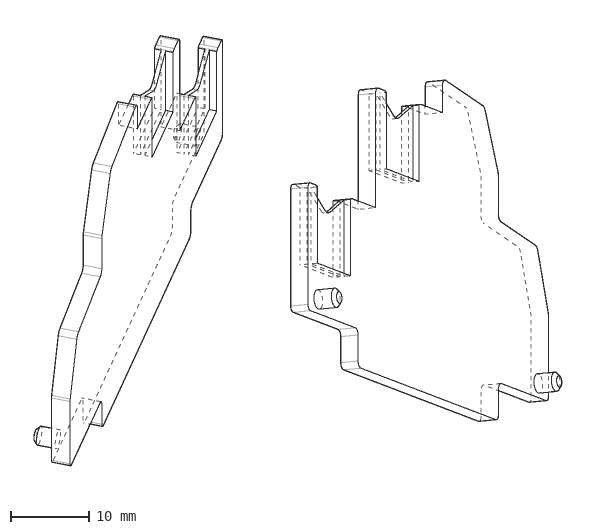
import cadquery as cq
import math

plate_thickness = 2.5
plate_width = 68.5
plate_height = 41.82
half_width = plate_width / 2

foot_half_width = 20.0
ledge_z = 5.0

lower_shelf_z = 21.7
shelf_rise = 15.75
upper_shelf_z = lower_shelf_z + shelf_rise
step_y = 15.0
tower_y = -4.05

roof_slope = math.radians(7.8)
tower_shoulder_y = -16.0
tower_flank_foot_z = 32.2
nose_roof_z = 26.2
nose_shoulder_y = -31.0
nose_flank_foot_z = 16.35

corner_radius = 0.8
end_corner_radius = 0.7
shoulder_radius = 1.0

notch_y = 26.9
notch_spacing = 19.6
notch_half_width = 5.0
notch_slope = math.radians(30)
notch_depth = notch_half_width * math.tan(notch_slope)
notch_root_radius = 1.5
notch_lip_radius = 1.0
recess_width = 9.35
recess_depth_below_shelf = 10.15
web_start_x = 0.9
web_thickness = 0.6

pin_diameter = 2.5
pin_length = 3.0
pin_tip_chamfer = 0.5
pin_y = half_width - 2.93
pin_z = 6.85

peak_z = plate_height + corner_radius * (math.tan(roof_slope) + 1 / math.cos(roof_slope) - 1)

notches = [
    (notch_y, lower_shelf_z),
    (notch_y - notch_spacing, upper_shelf_z),
]


def roof_drop(run):
    """Height lost along a sloping roof over a horizontal run."""
    return run * math.tan(roof_slope)


def notch_corners(centre_y, shelf_z):
    """Corners of one V notch, from the +Y lip through the root to the -Y lip."""
    return [
        (centre_y + notch_half_width, shelf_z),
        (centre_y, shelf_z - notch_depth),
        (centre_y - notch_half_width, shelf_z),
    ]


def round_corners(body, corners, radius):
    """Fillet the edges that cross the plate thickness at the given (y, z) corners."""
    for y, z in corners:
        corner = cq.selectors.NearestToPointSelector((plate_thickness / 2, y, z))
        body = body.edges(corner).fillet(radius)
    return body


def make_plate():
    lower_notch = notch_corners(*notches[0])
    upper_notch = notch_corners(*notches[1])
    foot_corners = [(foot_half_width, 0), (-foot_half_width, 0)]
    foot_roots = [(foot_half_width, ledge_z), (-foot_half_width, ledge_z)]
    ledge_ends = [(half_width, ledge_z), (-half_width, ledge_z)]
    lower_shelf_end = (half_width, lower_shelf_z)
    upper_shelf_end = (step_y, upper_shelf_z)
    peak = (tower_y, peak_z)
    tower_shoulder = (tower_shoulder_y, peak_z - roof_drop(tower_y - tower_shoulder_y))
    tower_flank_foot = (-foot_half_width, tower_flank_foot_z)
    nose_root = (-foot_half_width, nose_roof_z)
    nose_shoulder = (nose_shoulder_y, nose_roof_z - roof_drop(-foot_half_width - nose_shoulder_y))
    nose_flank_foot = (-half_width, nose_flank_foot_z)

    outline = [
        foot_corners[0], foot_roots[0], ledge_ends[0], lower_shelf_end,
        *lower_notch,
        (step_y, lower_shelf_z), upper_shelf_end,
        *upper_notch,
        (tower_y, upper_shelf_z), peak, tower_shoulder, tower_flank_foot,
        nose_root, nose_shoulder, nose_flank_foot,
        ledge_ends[1], foot_roots[1], foot_corners[1],
    ]
    plate = cq.Workplane("YZ").polyline(outline).close().extrude(plate_thickness)

    plate = round_corners(plate, foot_corners + foot_roots, corner_radius)
    plate = round_corners(plate, [upper_shelf_end, peak, nose_root], corner_radius)
    plate = round_corners(plate, ledge_ends + [lower_shelf_end], end_corner_radius)
    shoulders = [tower_shoulder, tower_flank_foot, nose_shoulder, nose_flank_foot]
    plate = round_corners(plate, shoulders, shoulder_radius)
    for first_lip, root, second_lip in (lower_notch, upper_notch):
        plate = round_corners(plate, [root], notch_root_radius)
        plate = round_corners(plate, [first_lip, second_lip], notch_lip_radius)
    return plate


def make_recess(centre_y, shelf_z, start_x, depth):
    """Rectangular cutter reaching from the recess floor up to the shelf."""
    return (
        cq.Workplane("XY")
        .box(depth, recess_width, recess_depth_below_shelf, centered=(False, True, False))
        .translate((start_x, centre_y, shelf_z - recess_depth_below_shelf))
    )


def make_pin(y):
    """Pin pointing in -X with a chamfered tip."""
    return (
        cq.Workplane("YZ")
        .center(y, pin_z)
        .circle(pin_diameter / 2)
        .extrude(-pin_length)
        .faces("<X")
        .chamfer(pin_tip_chamfer)
    )


result = make_plate()
web_end_x = web_start_x + web_thickness
for centre_y, shelf_z in notches:
    result = result.cut(make_recess(centre_y, shelf_z, 0, web_start_x))
    result = result.cut(make_recess(centre_y, shelf_z, web_end_x, plate_thickness - web_end_x))
for y in (pin_y, -pin_y):
    result = result.union(make_pin(y))